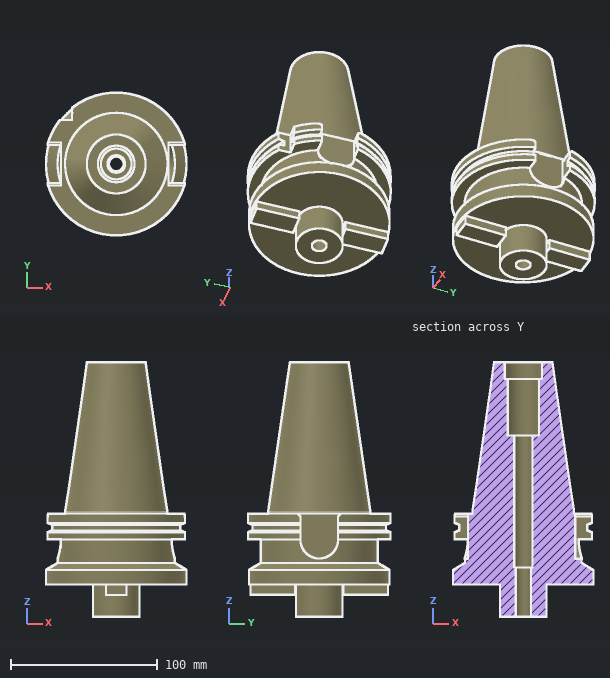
import cadquery as cq
import math


GAUGE_DIAMETER = 69.85
TAPER_LENGTH = 101.75
TAPER_RATIO = 7 / 24

FLANGE_DIAMETER = 97.5
FLANGE_TOP_Z = -1.6
FLANGE_BOTTOM_Z = -19.1
GROOVE_DIAMETER = 91.25
GROOVE_CENTRE_Z = -11.1
GROOVE_FLOOR_WIDTH = 3.75
GROOVE_MOUTH_WIDTH = 6.4

NECK_DIAMETER = 80
BODY_DIAMETER = 96
BODY_SHOULDER_HEIGHT = 4.9
BODY_RIM_HEIGHT = 10
BODY_BOTTOM_Z = -50

PILOT_DIAMETER = 32
PILOT_LENGTH = 22
KEY_WIDTH = 14
KEY_HEIGHT = 7
KEY_INNER_Y = 16.5
KEY_OUTER_Y = 47

SLOT_WIDTH = 25.7
SLOT_FLOOR_LEFT_X = -37.7
SLOT_FLOOR_RIGHT_X = 35.5
SLOT_BOTTOM_Z = -32.2
SLOT_CHAMFER = 1.9

NOTCH_OFFSET = 30

PILOT_BORE_DIAMETER = 25
PILOT_BORE_DEPTH = 11.5
THREAD_BORE_DIAMETER = 21
THREAD_BORE_DEPTH = 50
COOLANT_BORE_DIAMETER = 12
COOLANT_BORE_DEPTH = 140
COOLANT_OUTLET_DIAMETER = 10


def revolved_body():
    """Solid of revolution: taper, grooved flange, neck, rim and pilot."""
    gauge_radius = GAUGE_DIAMETER / 2
    small_end_radius = gauge_radius - TAPER_LENGTH * TAPER_RATIO / 2
    flange_radius = FLANGE_DIAMETER / 2
    groove_radius = GROOVE_DIAMETER / 2
    neck_radius = NECK_DIAMETER / 2
    body_radius = BODY_DIAMETER / 2
    pilot_radius = PILOT_DIAMETER / 2

    half_floor = GROOVE_FLOOR_WIDTH / 2
    half_mouth = GROOVE_MOUTH_WIDTH / 2

    rim_top_z = BODY_BOTTOM_Z + BODY_RIM_HEIGHT
    pilot_bottom_z = BODY_BOTTOM_Z - PILOT_LENGTH

    profile = [
        (0, TAPER_LENGTH),
        (small_end_radius, TAPER_LENGTH),
        (gauge_radius, 0),
        (gauge_radius, FLANGE_TOP_Z),
        (flange_radius, FLANGE_TOP_Z),
        (flange_radius, GROOVE_CENTRE_Z + half_mouth),
        (groove_radius, GROOVE_CENTRE_Z + half_floor),
        (groove_radius, GROOVE_CENTRE_Z - half_floor),
        (flange_radius, GROOVE_CENTRE_Z - half_mouth),
        (flange_radius, FLANGE_BOTTOM_Z),
        (neck_radius, FLANGE_BOTTOM_Z),
        (neck_radius, rim_top_z + BODY_SHOULDER_HEIGHT),
        (body_radius, rim_top_z),
        (body_radius, BODY_BOTTOM_Z),
        (pilot_radius, BODY_BOTTOM_Z),
        (pilot_radius, pilot_bottom_z),
        (0, pilot_bottom_z),
    ]
    return cq.Workplane("YZ").polyline(profile).close().revolve(360, (0, 0), (0, 1))


def driving_key(side):
    """Key under the body on the +Y (side = 1) or -Y (side = -1) half."""
    length = KEY_OUTER_Y - KEY_INNER_Y
    centre_y = side * (KEY_OUTER_Y + KEY_INNER_Y) / 2
    centre_z = BODY_BOTTOM_Z - KEY_HEIGHT / 2
    return cq.Workplane("XY").box(KEY_WIDTH, length, KEY_HEIGHT).translate((0, centre_y, centre_z))


def drive_slot(floor_x):
    """Cutter for a round-ended slot with a chamfered mouth, from floor_x outwards."""
    half_width = SLOT_WIDTH / 2
    half_mouth = half_width + SLOT_CHAMFER
    arc_centre_z = SLOT_BOTTOM_Z + half_width
    chamfer_z = FLANGE_TOP_Z - SLOT_CHAMFER
    outward_length = math.copysign(FLANGE_DIAMETER / 2, floor_x)
    return (
        cq.Workplane("YZ", origin=(floor_x, 0, 0))
        .moveTo(-half_mouth, FLANGE_TOP_Z)
        .lineTo(-half_width, chamfer_z)
        .lineTo(-half_width, arc_centre_z)
        .threePointArc((0, SLOT_BOTTOM_Z), (half_width, arc_centre_z))
        .lineTo(half_width, chamfer_z)
        .lineTo(half_mouth, FLANGE_TOP_Z)
        .close()
        .extrude(outward_length)
    )


def orientation_notch():
    """Cutter for the square notch through the flange on the -X, +Y corner."""
    size = FLANGE_DIAMETER / 2 - NOTCH_OFFSET
    return (
        cq.Workplane("XY", origin=(-NOTCH_OFFSET, NOTCH_OFFSET, FLANGE_BOTTOM_Z))
        .rect(-size, size, centered=False)
        .extrude(FLANGE_TOP_Z - FLANGE_BOTTOM_Z)
    )


def axial_bore():
    """Cutter for the pull-stud pilot bore, thread core bore and stepped coolant hole."""
    full_length = TAPER_LENGTH - BODY_BOTTOM_Z + PILOT_LENGTH
    steps = [
        (PILOT_BORE_DIAMETER, PILOT_BORE_DEPTH),
        (THREAD_BORE_DIAMETER, THREAD_BORE_DEPTH),
        (COOLANT_BORE_DIAMETER, COOLANT_BORE_DEPTH),
        (COOLANT_OUTLET_DIAMETER, full_length),
    ]
    top = cq.Workplane("XY", origin=(0, 0, TAPER_LENGTH))
    cutter = cq.Workplane("XY")
    for diameter, depth in steps:
        cutter = cutter.union(top.circle(diameter / 2).extrude(-depth))
    return cutter


result = revolved_body()
for side in (1, -1):
    result = result.union(driving_key(side))
for floor_x in (SLOT_FLOOR_LEFT_X, SLOT_FLOOR_RIGHT_X):
    result = result.cut(drive_slot(floor_x))
result = result.cut(orientation_notch())
result = result.cut(axial_bore())